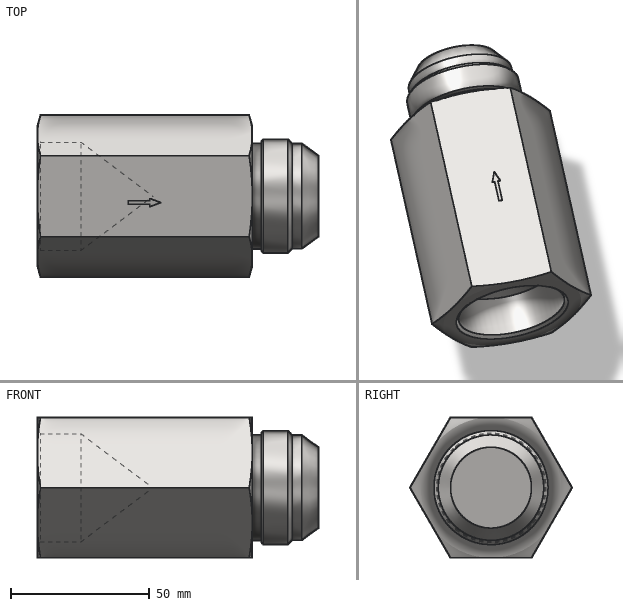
import cadquery as cq
import math

TOTAL_LENGTH = 101.6
BODY_LENGTH = 77.6
ACROSS_FLATS = 50.8
ACROSS_CORNERS = ACROSS_FLATS / math.cos(math.radians(30))
CORNER_CHAMFER_LENGTH = 1.1

NECK_DIAMETER = 38.3
COLLAR_DIAMETER = 41.2
TIP_DIAMETER = 38.1
COLLAR_START = 80.9
COLLAR_END = 92.0
COLLAR_REAR_CHAMFER = 0.8
COLLAR_FRONT_CHAMFER = (COLLAR_DIAMETER - TIP_DIAMETER) / 2
TIP_CONE_START = 95.5
TIP_FACE_DIAMETER = 29.3

BORE_DIAMETER = 39.0
BORE_MOUTH_DIAMETER = 41.2
BORE_DEPTH = 15.7
BORE_CONE_ANGLE = 74.0

ARROW_TAIL_X = 32.8
ARROW_HEAD_X = 40.6
ARROW_TIP_X = 44.6
ARROW_Y = -2.3
ARROW_SHAFT_WIDTH = 1.2
ARROW_HEAD_WIDTH = 2.9
ARROW_DEPTH = 0.2


def revolve_about_x(profile):
    """Turn a closed outline of (x, radius) points about the X axis."""
    return cq.Workplane("XY").polyline(profile).close().revolve(360, (0, 0, 0), (1, 0, 0))


def hex_body():
    """Hexagonal prism with its corners turned off at both ends."""
    prism = cq.Workplane("YZ").polygon(6, ACROSS_CORNERS).extrude(BODY_LENGTH)
    face_radius = ACROSS_FLATS / 2
    corner_radius = ACROSS_CORNERS / 2
    envelope = revolve_about_x([
        (0, 0),
        (0, face_radius),
        (CORNER_CHAMFER_LENGTH, corner_radius),
        (BODY_LENGTH - CORNER_CHAMFER_LENGTH, corner_radius),
        (BODY_LENGTH, face_radius),
        (BODY_LENGTH, 0),
    ])
    return prism.intersect(envelope)


def nose():
    """Neck, chamfered collar and conical tip; starts inside the body to join it."""
    neck_radius = NECK_DIAMETER / 2
    collar_radius = COLLAR_DIAMETER / 2
    tip_radius = TIP_DIAMETER / 2
    root_x = BODY_LENGTH - CORNER_CHAMFER_LENGTH
    return revolve_about_x([
        (root_x, 0),
        (root_x, neck_radius),
        (COLLAR_START, neck_radius),
        (COLLAR_START, collar_radius - COLLAR_REAR_CHAMFER),
        (COLLAR_START + COLLAR_REAR_CHAMFER, collar_radius),
        (COLLAR_END - COLLAR_FRONT_CHAMFER, collar_radius),
        (COLLAR_END, tip_radius),
        (TIP_CONE_START, tip_radius),
        (TOTAL_LENGTH, TIP_FACE_DIAMETER / 2),
        (TOTAL_LENGTH, 0),
    ])


def bore():
    """Blind bore with a 45 degree mouth chamfer and a conical bottom."""
    bore_radius = BORE_DIAMETER / 2
    mouth_radius = BORE_MOUTH_DIAMETER / 2
    cone_length = bore_radius / math.tan(math.radians(BORE_CONE_ANGLE / 2))
    return revolve_about_x([
        (0, 0),
        (0, mouth_radius),
        (mouth_radius - bore_radius, bore_radius),
        (BORE_DEPTH, bore_radius),
        (BORE_DEPTH + cone_length, 0),
    ])


def flow_arrow():
    """Arrow pointing to +X, just below the top flat."""
    half_shaft = ARROW_SHAFT_WIDTH / 2
    half_head = ARROW_HEAD_WIDTH / 2
    outline = [
        (ARROW_TAIL_X, ARROW_Y - half_shaft),
        (ARROW_HEAD_X, ARROW_Y - half_shaft),
        (ARROW_HEAD_X, ARROW_Y - half_head),
        (ARROW_TIP_X, ARROW_Y),
        (ARROW_HEAD_X, ARROW_Y + half_head),
        (ARROW_HEAD_X, ARROW_Y + half_shaft),
        (ARROW_TAIL_X, ARROW_Y + half_shaft),
    ]
    top_flat = cq.Workplane("XY").workplane(offset=ACROSS_FLATS / 2)
    return top_flat.polyline(outline).close().extrude(-ARROW_DEPTH)


result = hex_body().union(nose()).cut(bore()).cut(flow_arrow())